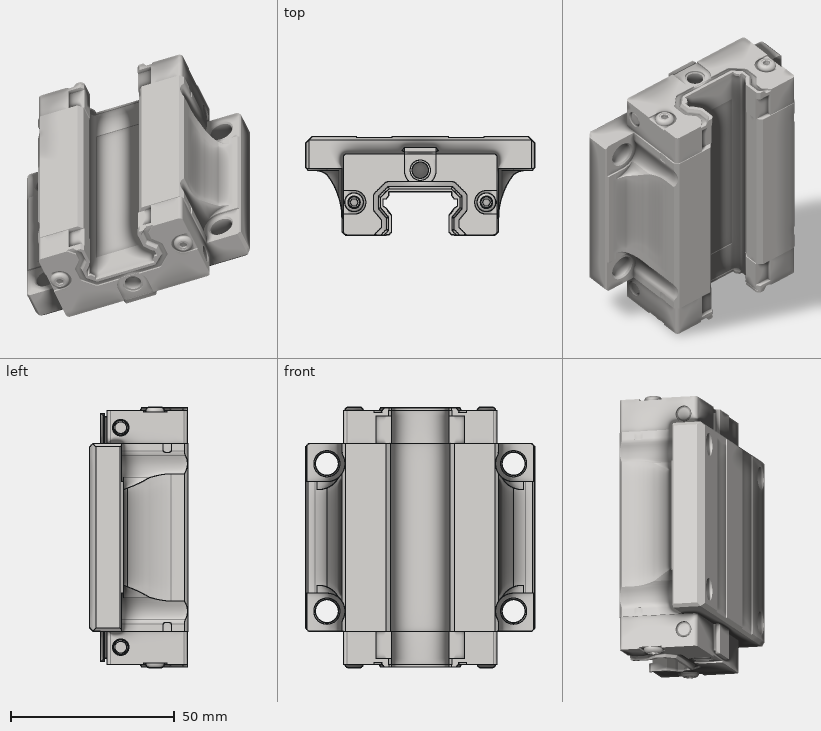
import cadquery as cq
import math


flange_width = 70.0
height = 30.2
block_length = 57.4
overall_length = 79.6

top_y = height / 2
bottom_y = -height / 2
half_flange = flange_width / 2
block_end_z = block_length / 2
screw_top_z = overall_length / 2
overcut = 5.0
merge_depth = 0.5

half_body = 23.95
body_foot_chamfer = 1.2
flange_bottom_y = 4.7
flange_side_chamfer = 2.0
flange_end_chamfer = 1.15
flange_corner_chamfer = 1.0
flange_lower_chamfer = (0.8, 1.0)
relief_inner_x = 8.65
relief_outer_x = 19.4
relief_depth = 0.3

hole_x = 28.5
hole_z = 22.5
hole_diameter = 7.0
hole_rim_diameter = 8.0
pad_y = 5.25
pad_radius = 5.5
scallop_lead_radius = 3.0

rib_start_y = -9.8
rib_radius = 21.5
rib_blend_start_y = 3.4
rib_blend_end_x = 32.2
rib_pocket_radius = 7.0
rib_pocket_x = 31.1
rib_pocket_z = 21.6
rib_pocket_outer_x = 31.45

mark_top_y = -7.4
mark_width = 2.6
mark_length = 2.7
mark_depth = 0.2
mark_corner_radius = 0.7

seal_ceiling_y = -1.8
cap_ceiling_y = -1.5
block_ceiling_y = -1.2
block_mouth_half = 9.1
block_mouth_chamfer = 1.4
cap_mouth_half = 8.8
seal_mouth_half = 8.7
cap_mouth_chamfer = 0.85
ceiling_half = 9.55
ceiling_wall_y = -2.9
shoulder_half = 10.4
shoulder_bottom_y = -6.75
waist_half = 11.3
waist_top_y = -4.05
waist_bottom_y = -6.15
mouth_top_y = -9.05
race_x = 9.6
race_y = -3.05
race_radius = 1.6

half_cap = 23.5
cap_top_y = 9.75
cap_bottom_y = -14.9
cap_end_z = 38.8
cap_edge_radius = 1.1
cap_mouth_recess_half = 13.55
cap_mouth_recess_depth = 1.3
cap_mouth_recess_end_z = 37.0

seal_top_z = 39.6
seal_top_half = 9.8
seal_top_y = -0.2
seal_waist_half = 12.8
seal_waist_top_y = -3.2
seal_waist_bottom_y = -6.9
seal_leg_half = 10.35
seal_leg_top_y = -9.8
seal_leg_bottom_y = -13.3
seal_groove_depth = 0.6
seal_bevel = 0.7
seal_groove_gap = 1.5

screw_x = 20.2
screw_y = -5.0
screw_head_diameter = 5.7
screw_top_diameter = 3.8
screw_socket_diameter = 2.5
screw_socket_rim_diameter = 3.3
screw_socket_rim_depth = 0.2
screw_socket_depth = 0.9
screw_recess_radius = 3.6
screw_recess_depth = 0.55

port_y = 4.8
port_diameter = 5.0
port_rim_diameter = 6.2
port_rim_depth = 0.5
port_depth = 6.0
insert_half = 4.85
insert_depth = 0.5
cover_half = 5.5
cover_bottom_y = 10.4
cover_ridge_y = 10.8
cover_top_y = 11.75
cover_end_z = 37.9
cover_edge = 0.65
cover_neck_end_z = 36.9

plug_y = 5.5
plug_z = 33.5
plug_hole_diameter = 5.0
plug_diameter = 4.4
plug_bevel = 0.4
plug_hole_depth = 1.0
plug_length = 0.7


def slab(x0, x1, y0, y1, z0, z1):
    """Axis-aligned box between two corners."""
    return cq.Workplane("XY").box(x1 - x0, y1 - y0, z1 - z0, centered=False).translate((x0, y0, z0))


def both_x(solid):
    """The solid together with its mirror image in the plane X = 0."""
    return solid.union(solid.mirror("YZ"))


def both_z(solid):
    """The solid together with its mirror image in the plane Z = 0."""
    return solid.union(solid.mirror("XY"))


def closed_about_x0(half_points):
    """Closed XY outline from its +X half, listed from top to bottom."""
    mirrored = [(-x, y) for x, y in reversed(half_points)]
    return cq.Workplane("XY").polyline(half_points + mirrored).close()


def rail_opening(ceiling_y, mouth_half, mouth_chamfer, mouth_y, z0, z1):
    """Cutter for the rail, with stepped shoulders and a chamfered mouth."""
    half = [
        (ceiling_half, ceiling_y),
        (ceiling_half, ceiling_wall_y),
        (shoulder_half, waist_top_y),
        (waist_half, waist_top_y),
        (waist_half, waist_bottom_y),
        (shoulder_half, shoulder_bottom_y),
        (mouth_half, mouth_top_y),
        (mouth_half, mouth_y + mouth_chamfer),
        (mouth_half + mouth_chamfer + overcut, mouth_y - overcut),
    ]
    return closed_about_x0(half).extrude(z1 - z0).translate((0, 0, z0))


def grooved_rail_opening(ceiling_y, mouth_half, mouth_chamfer, mouth_y, z0, z1):
    """Rail cutter with a round bearing race along each upper corner."""
    opening = rail_opening(ceiling_y, mouth_half, mouth_chamfer, mouth_y, z0, z1)
    race = cq.Workplane("XY").center(race_x, race_y).circle(race_radius).extrude(z1 - z0)
    return opening.union(both_x(race.translate((0, 0, z0))))


def make_flange():
    chamfer_x, chamfer_y = flange_lower_chamfer
    half = [
        (half_flange - flange_side_chamfer, top_y),
        (half_flange, top_y - flange_side_chamfer),
        (half_flange, flange_bottom_y + chamfer_y),
        (half_flange - chamfer_x, flange_bottom_y),
    ]
    flange = closed_about_x0(half).extrude(block_end_z, both=True)
    plan = (
        cq.Workplane("XZ")
        .rect(flange_width, block_length)
        .extrude(height, both=True)
        .edges("|Y")
        .chamfer(flange_corner_chamfer)
    )
    end_profile = (
        cq.Workplane("YZ")
        .rect(height, block_length)
        .extrude(flange_width, both=True)
        .edges(">Y and |X")
        .chamfer(flange_end_chamfer)
    )
    return flange.intersect(plan).intersect(end_profile)


def make_body():
    half = [
        (half_body, flange_bottom_y + merge_depth),
        (half_body, bottom_y + body_foot_chamfer),
        (half_body - body_foot_chamfer, bottom_y),
    ]
    return closed_about_x0(half).extrude(block_end_z, both=True)


def make_rib():
    """Concave flare from the +X body side, ending in a blend that runs out along the flange."""
    centre_x = half_body + rib_radius
    end_angle = math.pi - math.asin((rib_blend_start_y - rib_start_y) / rib_radius)

    def flare_point(angle):
        return (centre_x + rib_radius * math.cos(angle), rib_start_y + rib_radius * math.sin(angle))

    blend_start = flare_point(end_angle)
    run = rib_blend_end_x - blend_start[0]
    rise = flange_bottom_y - rib_blend_start_y
    blend_radius = (run**2 + rise**2) / (2 * rise)
    half_sweep = math.asin(run / blend_radius) / 2
    blend_middle = (
        rib_blend_end_x - blend_radius * math.sin(half_sweep),
        flange_bottom_y - blend_radius * (1 - math.cos(half_sweep)),
    )
    rib = (
        cq.Workplane("XY")
        .moveTo(half_body, rib_start_y)
        .threePointArc(flare_point((math.pi + end_angle) / 2), blend_start)
        .threePointArc(blend_middle, (rib_blend_end_x, flange_bottom_y))
        .lineTo(rib_blend_end_x, flange_bottom_y + merge_depth)
        .lineTo(half_body - merge_depth, flange_bottom_y + merge_depth)
        .lineTo(half_body - merge_depth, rib_start_y)
        .close()
    )
    return rib.extrude(hole_z, both=True)


def plan_cutter(outline, upper_y):
    """Extrude an outline drawn in X and Z downwards from upper_y past the foot."""
    return outline.extrude(upper_y - bottom_y + overcut).translate((0, upper_y, 0))


def make_hole_clearance():
    """Clearance for one mounting screw: spot-faced pad, body scallop and rib pocket."""
    scallop = plan_cutter(cq.Workplane("XZ").center(hole_x, hole_z).circle(pad_radius), pad_y)
    pad = slab(
        hole_x, half_flange + overcut,
        bottom_y - overcut, pad_y,
        hole_z - pad_radius, block_end_z + overcut,
    )
    lead_x = half_body - scallop_lead_radius
    lead_reach = pad_radius + scallop_lead_radius
    lead_angle = math.acos((hole_x - lead_x) / lead_reach)
    lead_z = hole_z + lead_reach * math.sin(lead_angle)

    def lead_point(angle):
        across = scallop_lead_radius * math.cos(angle)
        along = scallop_lead_radius * math.sin(angle)
        return (lead_x + across, lead_z - along)

    run_out = (
        cq.Workplane("XZ")
        .moveTo(*lead_point(lead_angle))
        .threePointArc(lead_point(lead_angle / 2), lead_point(0))
        .lineTo(half_body, block_end_z + overcut)
        .lineTo(hole_x, block_end_z + overcut)
        .lineTo(hole_x, lead_point(lead_angle)[1])
        .close()
    )
    run_out = plan_cutter(run_out, pad_y)

    pocket = plan_cutter(
        cq.Workplane("XZ").center(rib_pocket_x, rib_pocket_z).circle(rib_pocket_radius), flange_bottom_y
    )
    pocket_limit = slab(
        0, rib_pocket_outer_x,
        bottom_y - 2 * overcut, top_y,
        0, hole_z,
    )
    pocket = pocket.intersect(pocket_limit)
    return scallop.union(pad).union(run_out).union(pocket)


def make_mounting_hole():
    """Through hole with a 45 degree countersink on the pad."""
    rim = (hole_rim_diameter - hole_diameter) / 2
    bore = cq.Workplane("XZ").circle(hole_diameter / 2).extrude(height, both=True)
    sink = cq.Solid.makeCone(
        hole_rim_diameter / 2, hole_diameter / 2, rim, cq.Vector(0, pad_y, 0), cq.Vector(0, 1, 0)
    )
    return bore.union(cq.Workplane(sink)).translate((hole_x, 0, hole_z))


def make_side_mark():
    """Shallow round-cornered mark on the +X body side, open to the block end."""
    mark = slab(
        half_body - mark_depth, half_body + mark_depth,
        mark_top_y - mark_width, mark_top_y,
        block_end_z - mark_length, block_end_z,
    )
    inner_edges = mark.faces("<Z").edges("|X")
    return inner_edges.fillet(mark_corner_radius)


def make_block():
    block = make_flange().union(make_body()).union(both_x(make_rib()))
    relief = slab(
        relief_inner_x, relief_outer_x,
        top_y - relief_depth, top_y + overcut,
        -block_end_z, block_end_z,
    )
    block = block.cut(both_x(relief))
    for corner_feature in (make_hole_clearance(), make_mounting_hole(), make_side_mark()):
        block = block.cut(both_z(both_x(corner_feature)))
    rail = grooved_rail_opening(
        block_ceiling_y, block_mouth_half, block_mouth_chamfer, bottom_y, -block_end_z, block_end_z
    )
    return block.cut(rail)


def seal_outline(half_offset):
    """Outer outline of the seal at its foot, grown outwards by half_offset."""
    half = [
        (seal_top_half, seal_top_y),
        (seal_waist_half, seal_waist_top_y),
        (seal_waist_half, seal_waist_bottom_y),
        (seal_leg_half, seal_leg_top_y),
        (seal_leg_half, seal_leg_bottom_y),
        (seal_leg_half + overcut, seal_leg_bottom_y - overcut),
    ]
    outline = closed_about_x0(half)
    if half_offset:
        outline = outline.offset2D(half_offset, "arc")
    return outline


def make_seal():
    floor_z = cap_end_z - seal_groove_depth
    seal_height = seal_top_z - floor_z
    taper = math.degrees(math.atan2(seal_bevel, seal_height))
    seal = seal_outline(0).extrude(seal_height, taper=taper).translate((0, 0, floor_z))
    below_cap = slab(
        -half_cap, half_cap,
        bottom_y - 2 * overcut, cap_bottom_y,
        block_end_z, screw_top_z,
    )
    return seal.cut(below_cap)


def make_cap_body():
    body = slab(-half_cap, half_cap, cap_bottom_y, cap_top_y, block_end_z, cap_end_z)
    body = body.edges("|Z").fillet(cap_edge_radius)
    groove = seal_outline(seal_groove_gap).extrude(overcut)
    body = body.cut(groove.translate((0, 0, cap_end_z - seal_groove_depth)))
    mouth_recess = slab(
        -cap_mouth_recess_half, cap_mouth_recess_half,
        cap_bottom_y, cap_bottom_y + cap_mouth_recess_depth,
        block_end_z, cap_mouth_recess_end_z,
    )
    return body.cut(mouth_recess)


def make_screw_recess():
    """Round recess for the +X cap screw, open to the cap side."""
    floor_z = cap_end_z - screw_recess_depth
    disc = (
        cq.Workplane("XY")
        .center(screw_x, screw_y)
        .circle(screw_recess_radius)
        .extrude(overcut)
        .translate((0, 0, floor_z))
    )
    run_out = slab(
        screw_x, half_cap + overcut,
        screw_y - screw_recess_radius, screw_y + screw_recess_radius,
        floor_z, floor_z + overcut,
    )
    return disc.union(run_out)


def make_screw_head():
    """Button head of the +X cap screw with a hexagon socket below a shallow round rim."""
    floor_z = cap_end_z - screw_recess_depth
    head_height = screw_top_z - floor_z
    head_radius = screw_head_diameter / 2
    top_radius = screw_top_diameter / 2
    bulge = math.sqrt(0.5)
    head = (
        cq.Workplane("XZ")
        .lineTo(head_radius, 0)
        .threePointArc(
            (top_radius + (head_radius - top_radius) * bulge, head_height * bulge),
            (top_radius, head_height),
        )
        .lineTo(0, head_height)
        .close()
        .revolve(360, (0, 0, 0), (0, 1, 0))
    )
    socket = (
        cq.Workplane("XY")
        .workplane(offset=head_height - screw_socket_depth)
        .polygon(6, screw_socket_diameter)
        .extrude(screw_socket_depth)
    )
    rim = (
        cq.Workplane("XY")
        .workplane(offset=head_height - screw_socket_rim_depth)
        .circle(screw_socket_rim_diameter / 2)
        .extrude(screw_socket_rim_depth)
    )
    head = head.cut(socket).cut(rim)
    return head.translate((screw_x, screw_y, floor_z))


def make_port():
    """Recessed U-shaped insert face and the grease port bored into it."""
    face_z = cap_end_z - insert_depth
    insert = (
        cq.Workplane("XY")
        .moveTo(-insert_half, cap_top_y)
        .lineTo(-insert_half, port_y)
        .threePointArc((0, port_y - insert_half), (insert_half, port_y))
        .lineTo(insert_half, cap_top_y)
        .close()
        .extrude(insert_depth)
        .translate((0, 0, face_z))
    )
    bore = cq.Workplane("XY").circle(port_diameter / 2).extrude(-port_depth)
    rim = cq.Workplane("XY").circle(port_rim_diameter / 2).extrude(-port_rim_depth)
    bore = bore.union(rim).translate((0, port_y, face_z))
    return insert.union(bore)


def make_port_cover():
    """Bevelled plate above the cap, joined to it by a thin neck."""
    half = [
        (cover_half - cover_edge, cover_top_y),
        (cover_half, cover_ridge_y),
        (cover_half - cover_edge, cover_bottom_y),
    ]
    plate = closed_about_x0(half).extrude(cover_end_z - block_end_z).translate((0, 0, block_end_z))
    plan = (
        cq.Workplane("XY")
        .box(2 * cover_half, height, 2 * cover_end_z)
        .edges(">Z and |Y")
        .chamfer(cover_edge)
        .translate((0, cover_top_y, 0))
    )
    plate = plate.intersect(plan)
    neck = slab(-insert_half, insert_half, cap_top_y, cover_bottom_y, block_end_z, cover_neck_end_z)
    return plate.union(neck)


def make_plug_hole():
    """Cutter for the +X side hole, leaving a bevelled plug standing on its floor."""
    hole = cq.Workplane("YZ").circle(plug_hole_diameter / 2).extrude(plug_hole_depth)
    plug = (
        cq.Workplane("YZ")
        .circle(plug_diameter / 2)
        .extrude(plug_length)
        .faces(">X")
        .chamfer(plug_bevel)
    )
    return hole.cut(plug).translate((half_cap - plug_hole_depth, plug_y, plug_z))


def make_cap():
    cap = make_cap_body().cut(make_port())
    cap = cap.union(make_seal())
    cap = cap.cut(both_x(make_screw_recess())).union(both_x(make_screw_head()))
    cap = cap.cut(both_x(make_plug_hole()))
    cap = cap.union(make_port_cover())
    cap_rail = grooved_rail_opening(
        cap_ceiling_y, cap_mouth_half, cap_mouth_chamfer, cap_bottom_y, block_end_z, cap_end_z
    )
    seal_rail = rail_opening(
        seal_ceiling_y, seal_mouth_half, cap_mouth_chamfer, cap_bottom_y, cap_end_z, screw_top_z
    )
    return cap.cut(cap_rail).cut(seal_rail)


result = make_block().union(both_z(make_cap()))